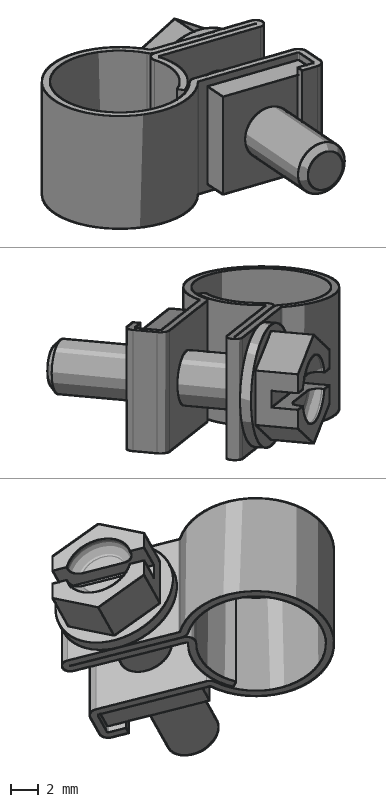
import cadquery as cq
import math


strip_width = 9.0
strip_thickness = 0.59
half_thickness = strip_thickness / 2
bend_radius = 0.1
mid_bend_radius = bend_radius + half_thickness
ring_outer_radius = 5.6
strip_top_y = 13.87
leg_outer_x = 3.08
fold_gap = 0.02
tongue_outer_radius = 4.87
tongue_end_angle = 40.0
hook_tip_y = 11.87
touch_tolerance = 0.0002

bolt_axis_y = 9.38
shank_diameter = 4.0
shank_length = 15.58
shank_end_chamfer = 0.51
flange_diameter = 8.99
flange_thickness = 0.82
head_height = 3.22
head_across_flats = 7.0
slot_width = 1.24
slot_depth = 2.0
recess_radius = 2.5
recess_depth = 1.0
recess_floor_fillet = 0.8

nut_thickness = 2.02
nut_size = 7.8


def point_on_arc(center, radius, angle):
    """Point at an angle in degrees on a circle."""
    return (
        center[0] + radius * math.cos(math.radians(angle)),
        center[1] + radius * math.sin(math.radians(angle)),
    )


def arc_points(arc, offset):
    """Start, middle and end of an arc shifted to the left of its travel direction."""
    center, radius, start, end = arc
    turn = math.copysign(1, end - start)
    shifted_radius = radius - turn * offset
    return [point_on_arc(center, shifted_radius, a) for a in (start, (start + end) / 2, end)]


def bend_outside(circle_radius, face_x):
    """Centre and polar angle of a bend tangent to a circle round the origin and to a leg face."""
    center_x = face_x + bend_radius
    center_y = math.sqrt((circle_radius + bend_radius) ** 2 - center_x ** 2)
    return center_x, center_y, math.degrees(math.atan2(center_y, center_x))


def strip_arcs():
    """Centreline arcs (centre, radius, start angle, end angle) from the tongue tip to the hook."""
    ring_center = (0, 0)

    slit_x = -(leg_outer_x - strip_thickness - fold_gap / 2)
    fold_y = strip_top_y - strip_thickness - fold_gap / 2
    fold_radius = half_thickness + fold_gap / 2
    fold = ((slit_x, fold_y), fold_radius, 0, 180)

    inner_layer_x = slit_x + fold_gap / 2 + strip_thickness
    bend_x, bend_y, bend_angle = bend_outside(tongue_outer_radius, inner_layer_x)
    tongue = (ring_center, tongue_outer_radius - half_thickness, tongue_end_angle, bend_angle)
    tongue_bend = ((bend_x, bend_y), mid_bend_radius, bend_angle + 180, 180)

    bend_x, bend_y, bend_angle = bend_outside(ring_outer_radius, leg_outer_x)
    left_bend = ((-bend_x, bend_y), mid_bend_radius, 0, -bend_angle)
    ring_radius = ring_outer_radius - half_thickness
    ring = (ring_center, ring_radius, 180 - bend_angle, 360 + bend_angle)
    right_bend = ((bend_x, bend_y), mid_bend_radius, 180 + bend_angle, 180)

    corner_y = strip_top_y - strip_thickness - bend_radius
    near_corner = ((leg_outer_x + bend_radius, corner_y), mid_bend_radius, 180, 90)
    far_corner_x = leg_outer_x + nut_thickness - bend_radius
    far_corner = ((far_corner_x, corner_y), mid_bend_radius, 90, 0)

    return [tongue, tongue_bend, fold, left_bend, ring, right_bend, near_corner, far_corner]


def shank_cylinder(start_x, length):
    """Cylinder on the bolt axis with the shank diameter, for the shank and the holes it fills."""
    plane = cq.Workplane("YZ", origin=(start_x, bolt_axis_y, 0))
    return plane.circle(shank_diameter / 2).extrude(length)


def add_arcs(outline, arcs, position):
    """Continue an outline through arcs, with a straight line wherever two arcs do not touch."""
    for start, middle, end in arcs:
        if math.dist(position, start) > touch_tolerance:
            outline = outline.lineTo(*start)
        outline = outline.threePointArc(middle, end)
        position = end
    return outline


def make_strip():
    arcs = strip_arcs()
    left_side = [arc_points(arc, half_thickness) for arc in arcs]
    right_side = [arc_points(arc, -half_thickness)[::-1] for arc in reversed(arcs)]

    hook_inner_x = leg_outer_x + nut_thickness
    hook_outer_tip = (hook_inner_x + strip_thickness, hook_tip_y)
    hook_inner_tip = (hook_inner_x, hook_tip_y)

    outline = cq.Workplane("XY", origin=(0, 0, -strip_width / 2)).moveTo(*left_side[0][0])
    outline = add_arcs(outline, left_side, left_side[0][0])
    outline = outline.lineTo(*hook_outer_tip).lineTo(*hook_inner_tip)
    outline = add_arcs(outline, right_side, hook_inner_tip)
    strip = outline.close().extrude(strip_width)

    return strip.cut(shank_cylinder(-leg_outer_x, 2 * leg_outer_x))


def make_bolt():
    flange_x = -leg_outer_x - flange_thickness
    head_end_x = flange_x - head_height

    shank = shank_cylinder(-leg_outer_x, shank_length).faces(">X").chamfer(shank_end_chamfer)
    flange = (
        cq.Workplane("YZ", origin=(flange_x, bolt_axis_y, 0))
        .circle(flange_diameter / 2)
        .extrude(flange_thickness)
    )
    corner_radius = head_across_flats / math.sqrt(3)
    corners = [point_on_arc((0, 0), corner_radius, 30 + 60 * i) for i in range(6)]
    head_plane = cq.Workplane("YZ", origin=(head_end_x, bolt_axis_y, 0))
    head = head_plane.polyline(corners).close().extrude(head_height)

    recess = (
        head_plane.circle(recess_radius)
        .extrude(recess_depth)
        .faces(">X")
        .edges()
        .fillet(recess_floor_fillet)
    )
    slot = head_plane.rect(head_across_flats, slot_width).extrude(slot_depth)

    return shank.union(flange).union(head).cut(recess).cut(slot)


def make_nut():
    nut_top_y = strip_top_y - strip_thickness
    nut = (
        cq.Workplane("XY")
        .box(nut_thickness, nut_size, nut_size)
        .translate((leg_outer_x + nut_thickness / 2, nut_top_y - nut_size / 2, 0))
    )
    nut = nut.faces(">Y").edges("|Z").fillet(bend_radius)
    return nut.cut(shank_cylinder(leg_outer_x, nut_thickness))


strip = make_strip()
bolt = make_bolt()
nut = make_nut()

result = cq.Compound.makeCompound([strip.val(), bolt.val(), nut.val()])